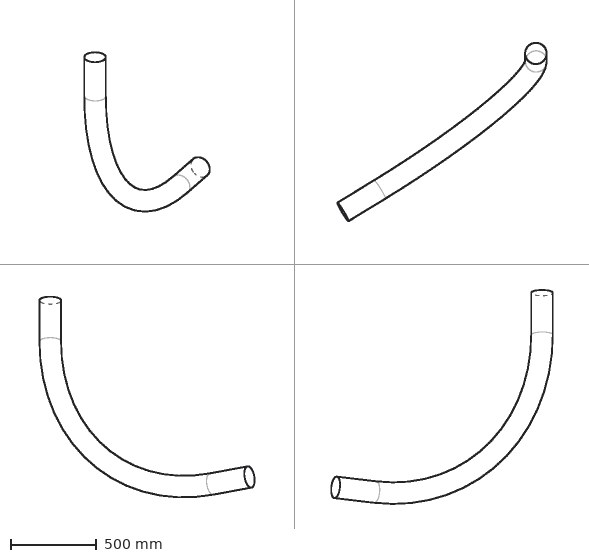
import cadquery as cq

overall_size = 1384.0
outer_diameter = 127.0
inner_diameter = 123.0
tail_length = 252.0

bend_radius = overall_size - tail_length - outer_diameter / 2


def tail_at(workplane):
    """Straight pipe of one tail length, extruded along the plane normal."""
    return (
        workplane.circle(outer_diameter / 2)
        .circle(inner_diameter / 2)
        .extrude(tail_length)
    )


bend = (
    cq.Workplane("XY")
    .center(0, -bend_radius)
    .circle(outer_diameter / 2)
    .circle(inner_diameter / 2)
    .revolve(90, (0, bend_radius, 0), (1, bend_radius, 0))
)

vertical_tail = tail_at(cq.Workplane("XY", origin=(0, -bend_radius, 0)))

horizontal_plane = cq.Plane(origin=(0, 0, -bend_radius), xDir=(1, 0, 0), normal=(0, 1, 0))
horizontal_tail = tail_at(cq.Workplane(horizontal_plane))

result = bend.union(vertical_tail).union(horizontal_tail)